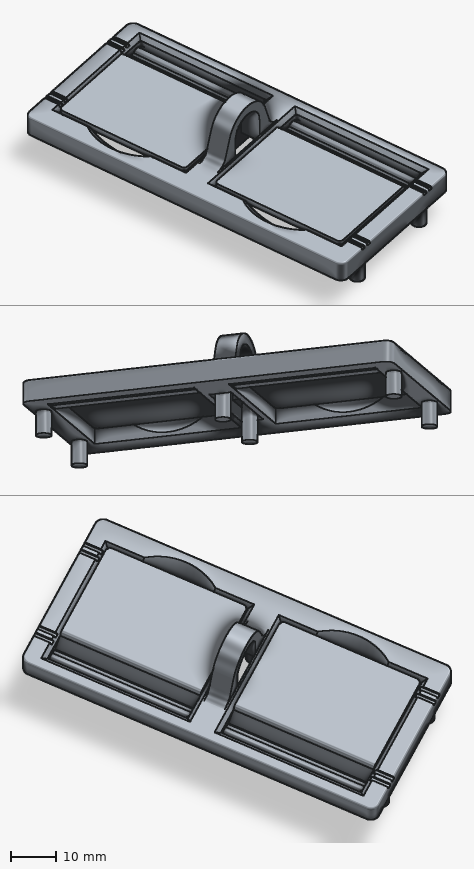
import cadquery as cq
import math

PLATE_LENGTH = 86.8
PLATE_WIDTH = 40.0
PLATE_HEIGHT = 5.0
CORNER_RADIUS = 2.0
TOP_EDGE_RADIUS = 0.5

POCKET_LENGTH = 34.3
POCKET_CENTER_X = 21.2
POCKET_NORTH_Y = 16.5
POCKET_SOUTH_Y = -13.9
RIM_RUN = 1.0
RIM_DEPTH = 1.0
POCKET_CORNER_RADIUS = 1.0
POCKET_CORNER_BOTTOM = -2.4

FLAP_THICKNESS = 1.6
FLAP_EDGE_RADIUS = 1.0
FLAP_NORTH_Y = 10.15
HINGE_RADIUS = 1.3
HINGE_Y = 15.0
HINGE_Z = -3.6
WEB_TOP = -2.9
WEB_SOUTH_Y = 12.9
WEB_BOTTOM = -4.7
STEP_WIDTH = 0.3
STEP_TOP = -3.1
RAMP_SETBACK = 0.9

NOTCH_RADIUS = 14.2
NOTCH_SOUTH_Y = -17.9
NOTCH_SLOPE = 46.0

LUG_CENTER_Y = 0.4

LUG_WIDTH = 5.0
LUG_RADIUS = 6.95
LUG_ARC_Z = 4.5
LUG_FLANK_ANGLE = 19.0
LUG_FOOT_RADIUS = 2.95
LUG_HOLE_RADIUS = 4.5
ROOF_THICKNESS = 1.7

PIN_DIAMETER = 3.5
PIN_LENGTH = 5.5
END_PIN_X = 41.0
END_PIN_PITCH = 23.0
END_CENTER_Y = 0.3
CENTER_PIN_PITCH = 17.3

GROOVE_WIDTH = 0.95
GROOVE_DEPTH = 0.5
GROOVE_PITCH = 1.9

POCKET_XS = (-POCKET_CENTER_X, POCKET_CENTER_X)
END_YS = (END_CENTER_Y - END_PIN_PITCH / 2, END_CENTER_Y + END_PIN_PITCH / 2)


def box_between(x_range, y_range, z_range):
    """Box given by its lower and upper limits along each axis."""
    return (
        cq.Workplane("XY")
        .box(
            x_range[1] - x_range[0],
            y_range[1] - y_range[0],
            z_range[1] - z_range[0],
            centered=False,
        )
        .translate((x_range[0], y_range[0], z_range[0]))
    )


def make_plate():
    """Rounded slab with a rounded top edge."""
    return (
        cq.Workplane("XY")
        .box(PLATE_LENGTH, PLATE_WIDTH, PLATE_HEIGHT, centered=(True, True, False))
        .translate((0, 0, -PLATE_HEIGHT))
        .edges("|Z")
        .fillet(CORNER_RADIUS)
        .faces(">Z")
        .edges()
        .fillet(TOP_EDGE_RADIUS)
    )


def pocket_x_range(center_x):
    return (center_x - POCKET_LENGTH / 2, center_x + POCKET_LENGTH / 2)


def make_pocket(center_x):
    """Sloped rim, then a band with rounded north corners, then a square-cornered opening."""
    width = POCKET_NORTH_Y - POCKET_SOUTH_Y
    rim = (
        cq.Workplane("XY")
        .center(center_x, (POCKET_NORTH_Y + POCKET_SOUTH_Y) / 2)
        .rect(POCKET_LENGTH + 2 * RIM_RUN, width + 2 * RIM_RUN)
        .workplane(offset=-RIM_DEPTH)
        .rect(POCKET_LENGTH, width)
        .loft(ruled=True)
    )
    x_range = pocket_x_range(center_x)
    y_range = (POCKET_SOUTH_Y, POCKET_NORTH_Y)
    upper = (
        box_between(x_range, y_range, (POCKET_CORNER_BOTTOM, -RIM_DEPTH))
        .edges("|Z and >Y")
        .fillet(POCKET_CORNER_RADIUS)
    )
    lower = box_between(x_range, y_range, (-PLATE_HEIGHT, POCKET_CORNER_BOTTOM))
    return rim.union(upper).union(lower)


def make_notch(center_x):
    """Round notch running down and north at a slope through the plate."""
    run = PLATE_HEIGHT / math.tan(math.radians(NOTCH_SLOPE))
    circle = cq.Wire.makeCircle(
        NOTCH_RADIUS, cq.Vector(center_x, NOTCH_SOUTH_Y + NOTCH_RADIUS, 0), cq.Vector(0, 0, 1)
    )
    cylinder = cq.Solid.extrudeLinear(circle, [], cq.Vector(0, run, -PLATE_HEIGHT))
    limit = box_between(
        pocket_x_range(center_x), (NOTCH_SOUTH_Y, POCKET_SOUTH_Y), (-PLATE_HEIGHT, 0)
    )
    return limit.intersect(cq.Workplane(cylinder))


def make_flap(center_x):
    """Flap, ramp and web in one profile along X, with the hinge bar on the web's north edge."""
    ramp_foot_y = WEB_SOUTH_Y - STEP_WIDTH
    flap = (
        cq.Workplane("YZ")
        .moveTo(POCKET_SOUTH_Y, 0)
        .lineTo(FLAP_NORTH_Y - FLAP_EDGE_RADIUS, 0)
        .radiusArc((FLAP_NORTH_Y, -FLAP_EDGE_RADIUS), FLAP_EDGE_RADIUS)
        .lineTo(ramp_foot_y, STEP_TOP)
        .lineTo(WEB_SOUTH_Y, STEP_TOP)
        .lineTo(WEB_SOUTH_Y, WEB_TOP)
        .lineTo(HINGE_Y, WEB_TOP)
        .lineTo(HINGE_Y, WEB_BOTTOM)
        .lineTo(ramp_foot_y - RAMP_SETBACK, WEB_BOTTOM)
        .lineTo(FLAP_NORTH_Y - FLAP_EDGE_RADIUS, -FLAP_THICKNESS)
        .lineTo(POCKET_SOUTH_Y, -FLAP_THICKNESS)
        .close()
        .extrude(POCKET_LENGTH)
        .edges("|Z and <Y")
        .fillet(FLAP_EDGE_RADIUS)
    )
    hinge = (
        cq.Workplane("YZ")
        .center(HINGE_Y, HINGE_Z)
        .circle(HINGE_RADIUS)
        .extrude(POCKET_LENGTH)
    )
    return flap.union(hinge).translate((center_x - POCKET_LENGTH / 2, 0, 0))


def make_lug():
    """Arched lug with straight flanks that flare into the plate."""
    angle = math.radians(LUG_FLANK_ANGLE)
    arc_y = LUG_RADIUS * math.cos(angle)
    arc_z = LUG_ARC_Z + LUG_RADIUS * math.sin(angle)
    foot_z = LUG_FOOT_RADIUS * (1 - math.sin(angle))
    flank_y = arc_y + (arc_z - foot_z) * math.tan(angle)
    foot_y = flank_y + LUG_FOOT_RADIUS * math.cos(angle)
    return (
        cq.Workplane("YZ")
        .moveTo(-foot_y, -ROOF_THICKNESS)
        .lineTo(-foot_y, 0)
        .radiusArc((-flank_y, foot_z), -LUG_FOOT_RADIUS)
        .lineTo(-arc_y, arc_z)
        .threePointArc((0, LUG_ARC_Z + LUG_RADIUS), (arc_y, arc_z))
        .lineTo(flank_y, foot_z)
        .radiusArc((foot_y, 0), -LUG_FOOT_RADIUS)
        .lineTo(foot_y, -ROOF_THICKNESS)
        .close()
        .extrude(LUG_WIDTH / 2, both=True)
        .translate((0, LUG_CENTER_Y, 0))
    )


def make_lug_opening():
    """Arched hole through the lug, continued down as a slot through the plate."""
    x_range = (-LUG_WIDTH / 2, LUG_WIDTH / 2)
    y_range = (LUG_CENTER_Y - LUG_HOLE_RADIUS, LUG_CENTER_Y + LUG_HOLE_RADIUS)
    arch = (
        cq.Workplane("YZ")
        .center(LUG_CENTER_Y, LUG_ARC_Z)
        .circle(LUG_HOLE_RADIUS)
        .extrude(LUG_WIDTH / 2, both=True)
    )
    return arch.union(box_between(x_range, y_range, (-PLATE_HEIGHT, LUG_ARC_Z)))


def make_bar_recess():
    """Recess in the underside of the bar, leaving a thin roof below the lug."""
    half_length = CENTER_PIN_PITCH / 2 + PIN_DIAMETER / 2
    return box_between(
        (-LUG_WIDTH / 2, LUG_WIDTH / 2),
        (LUG_CENTER_Y - half_length, LUG_CENTER_Y + half_length),
        (-PLATE_HEIGHT, -ROOF_THICKNESS),
    )


def make_pins(points, top_z):
    """Round pins reaching from below the plate up to top_z inside it."""
    return (
        cq.Workplane("XY")
        .workplane(offset=-PLATE_HEIGHT - PIN_LENGTH)
        .pushPoints(points)
        .circle(PIN_DIAMETER / 2)
        .extrude(top_z + PLATE_HEIGHT + PIN_LENGTH)
    )


def make_grooves():
    """Shallow grooves along X from each end of the plate into the pocket rims."""
    grooves = cq.Workplane("XY")
    half_length = PLATE_LENGTH / 2
    inner_x = POCKET_CENTER_X + POCKET_LENGTH / 2
    for pair_y in END_YS:
        for offset in (-GROOVE_PITCH / 2, GROOVE_PITCH / 2):
            y_range = (pair_y + offset - GROOVE_WIDTH / 2, pair_y + offset + GROOVE_WIDTH / 2)
            for x_range in ((-half_length, -inner_x), (inner_x, half_length)):
                grooves = grooves.union(box_between(x_range, y_range, (-GROOVE_DEPTH, 0)))
    return grooves


body = make_plate().cut(make_grooves())
for pocket_x in POCKET_XS:
    body = body.cut(make_pocket(pocket_x)).cut(make_notch(pocket_x))
    body = body.union(make_flap(pocket_x))

body = body.union(make_lug()).cut(make_lug_opening()).cut(make_bar_recess())

end_pin_points = [(x, y) for x in (-END_PIN_X, END_PIN_X) for y in END_YS]
center_pin_points = [
    (0, LUG_CENTER_Y - CENTER_PIN_PITCH / 2),
    (0, LUG_CENTER_Y + CENTER_PIN_PITCH / 2),
]
body = body.union(make_pins(end_pin_points, -PLATE_HEIGHT / 2))
result = body.union(make_pins(center_pin_points, -ROOF_THICKNESS))